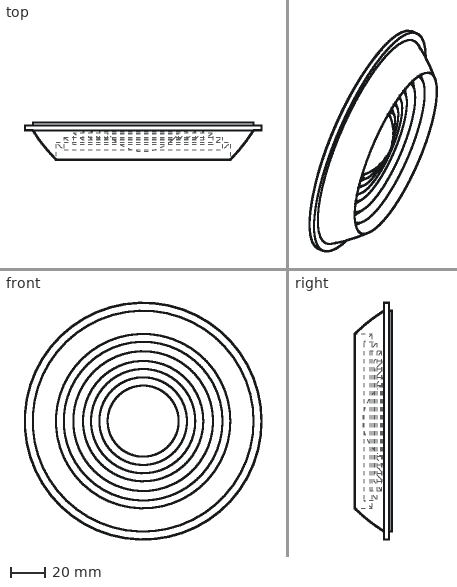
import cadquery as cq
import math

FLANGE_RADIUS = 69.1
BODY_RADIUS = 64.4
LIP_RADIUS = 50.8
TOTAL_DEPTH = 21.8
SPIGOT_DEPTH = 1.7
FLANGE_THICKNESS = 3.0
WALL_BULGE = 0.5

STEEP_SLOPE = 1.0
SHALLOW_SLOPE = 0.75
RING_CRESTS = [
    (46.3, 11.5, STEEP_SLOPE),
    (40.8, 8.2, SHALLOW_SLOPE),
    (35.1, 5.7, SHALLOW_SLOPE),
    (30.4, 5.1, STEEP_SLOPE),
    (25.5, 5.1, STEEP_SLOPE),
    (20.7, 5.5, STEEP_SLOPE),
    (17.0, 5.7, STEEP_SLOPE),
]

FLANK_SPHERE_RADIUS = 25.5
CAP_SPHERE_RADIUS = 23.0
CAP_RADIUS = 9.5

flange_front = SPIGOT_DEPTH + FLANGE_THICKNESS
dome_radius, dome_base, _ = RING_CRESTS[-1]


def section_point(radius, height):
    """Point of the half section in the XY plane, with the front toward -Y."""
    return (radius, -height)


def sphere_rise(sphere_radius, radius):
    """Height of a sphere's surface above its center at a distance from the axis."""
    return math.sqrt(sphere_radius**2 - radius**2)


def dome_point(sphere_radius, center, radius):
    """Point on a spherical zone of the central dome at a given radius."""
    return section_point(radius, center + sphere_rise(sphere_radius, radius))


def wall_midpoint():
    """Middle of the flared wall, pushed outward along the normal of its chord."""
    run = BODY_RADIUS - LIP_RADIUS
    rise = TOTAL_DEPTH - flange_front
    chord = math.hypot(run, rise)
    radius = (BODY_RADIUS + LIP_RADIUS) / 2 + WALL_BULGE * rise / chord
    height = (flange_front + TOTAL_DEPTH) / 2 + WALL_BULGE * run / chord
    return section_point(radius, height)


profile = (
    cq.Workplane("XY")
    .moveTo(0, 0)
    .lineTo(*section_point(BODY_RADIUS, 0))
    .lineTo(*section_point(BODY_RADIUS, SPIGOT_DEPTH))
    .lineTo(*section_point(FLANGE_RADIUS, SPIGOT_DEPTH))
    .lineTo(*section_point(FLANGE_RADIUS, flange_front))
    .lineTo(*section_point(BODY_RADIUS, flange_front))
    .threePointArc(wall_midpoint(), section_point(LIP_RADIUS, TOTAL_DEPTH))
)

outer_radius = LIP_RADIUS
for crest_radius, crest_height, slope in RING_CRESTS:
    crest = flange_front + crest_height
    valley = crest - slope * (outer_radius - crest_radius)
    profile = profile.lineTo(*section_point(outer_radius, valley))
    profile = profile.lineTo(*section_point(crest_radius, crest))
    outer_radius = crest_radius

flank_center = flange_front + dome_base - sphere_rise(FLANK_SPHERE_RADIUS, dome_radius)
cap_center = (
    flank_center + sphere_rise(FLANK_SPHERE_RADIUS, CAP_RADIUS) - sphere_rise(CAP_SPHERE_RADIUS, CAP_RADIUS)
)
flank_middle = (dome_radius + CAP_RADIUS) / 2
profile = profile.threePointArc(
    dome_point(FLANK_SPHERE_RADIUS, flank_center, flank_middle),
    dome_point(FLANK_SPHERE_RADIUS, flank_center, CAP_RADIUS),
)
profile = profile.threePointArc(
    dome_point(CAP_SPHERE_RADIUS, cap_center, CAP_RADIUS / 2),
    dome_point(CAP_SPHERE_RADIUS, cap_center, 0),
)

result = profile.close().revolve(360, (0, 0, 0), (0, 1, 0))